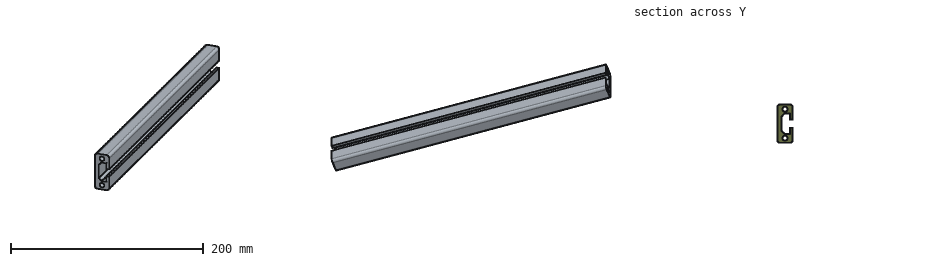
import cadquery as cq

WIDTH = 16.0
LENGTH = 300.0
HEIGHT = 40.0
CORNER_RADIUS = 3.0

SLOT_OPENING = 8.2
LIP_THICKNESS = 3.0
CAVITY_HEIGHT = 21.0
BACK_WALL = 4.6
CAVITY_CHAMFER = 3.0

CHANNEL_DIAMETER = 5.0
CHANNEL_SPACING = 30.0


def extrude_profile(sketch):
    """Extrude a sketch drawn on the XZ plane along the full length in Y."""
    return sketch.extrude(LENGTH / 2, both=True)


def make_bar():
    bar = extrude_profile(cq.Workplane("XZ").rect(WIDTH, HEIGHT))
    return bar.edges("|Y").fillet(CORNER_RADIUS)


def make_slot():
    cavity_back = -WIDTH / 2 + BACK_WALL
    lip_inner = WIDTH / 2 - LIP_THICKNESS
    cavity_center = (cavity_back + lip_inner) / 2
    cavity_depth = lip_inner - cavity_back
    cavity = extrude_profile(
        cq.Workplane("XZ").center(cavity_center, 0).rect(cavity_depth, CAVITY_HEIGHT)
    )
    cavity = cavity.edges("|Y and <X").chamfer(CAVITY_CHAMFER)

    opening_center = WIDTH / 2 - LIP_THICKNESS / 2
    opening = extrude_profile(
        cq.Workplane("XZ").center(opening_center, 0).rect(LIP_THICKNESS, SLOT_OPENING)
    )
    return cavity.union(opening)


def make_channels():
    half_spacing = CHANNEL_SPACING / 2
    centers = [(0, -half_spacing), (0, half_spacing)]
    return extrude_profile(cq.Workplane("XZ").pushPoints(centers).circle(CHANNEL_DIAMETER / 2))


result = make_bar().cut(make_slot()).cut(make_channels())